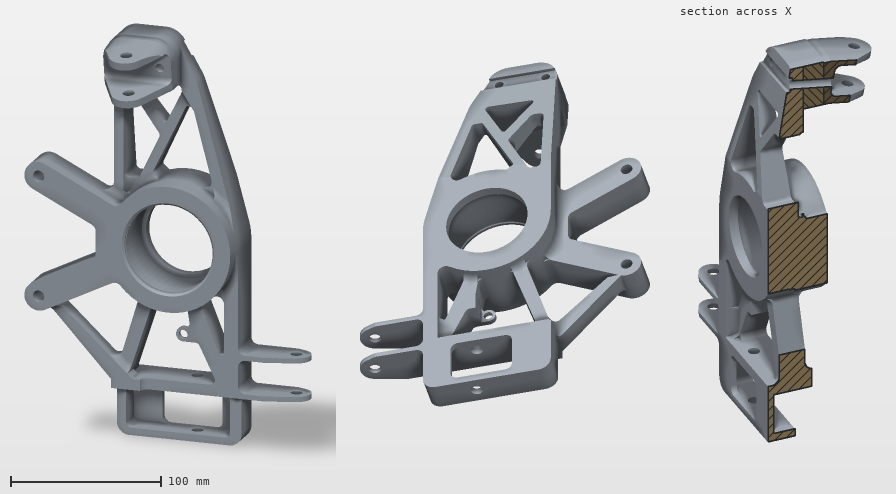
import cadquery as cq
import math


HUB_RADIUS = 44.0
HUB_FRONT = 43.3
BEARING_DIAMETER = 62.0
BORE_MOUTH_DIAMETER = 65.0
LIP_DIAMETER = 56.0
LIP_THICKNESS = 6.5
RING_GROOVE_WIDTH = 1.5
RING_GROOVE_FRONT = 40.2

JOINT_RADIUS = 5.02
CORNER_RADIUS = 3.5
SMALL_CORNER_RADIUS = 1.7
PIVOT_HOLE = 8.0
BOLT_HOLE = 6.0
LATTICE_FRONT = 26.0

ARM_HOLE_X = -91.0
ARM_HOLE_Z = 42.0
ARM_END_RADIUS = 10.0
ARM_ANGLE = math.radians(26.5)
ARM_BACK = 19.5
ARM_ROOT_X = -50.8
ARM_INNER_X = -34.5

TOP_Z = 147.0
SIDE_X = HUB_RADIUS
HEAD_RIGHT = 3.7
HEAD_CORNER = 14.0
HEAD_BOTTOM = 112.2
HEAD_EDGE_ANGLE = math.radians(26)
RAIL_ANGLE = math.radians(15.2)
SHOULDER_RADIUS = 28.7
LEFT_RAIL_INNER = 7.0 - SIDE_X
BRACE_FRONT = 20.5
BACK_SLOPE_START = 44.2
BACK_SLOPE = math.radians(9.2)
NUT_GROOVE_LOW = 128.0
NUT_GROOVE_HIGH = 138.5
NUT_GROOVE_DEPTH = 2.45

LOWER_FRONT = 27.0
SHELF_TOP = -96.7
SHELF_BOTTOM = -104.5
BOX_BOTTOM = TOP_Z - 287
BOX_FRONT = 20.0
BOX_CORNER = 8.5
BOX_INNER_LEFT = -37.3
BOX_INNER_RIGHT = 35.5
BOX_FLOOR = 5.2
BOX_BACK_THICKNESS = 4.3
WINDOW_LEFT = -17.2
WINDOW_RIGHT = 25.0
RIGHT_RAIL_INNER = SIDE_X - 10.0
TIE_FRONT = 32.1
FOOT_RIGHT = -23.5
FOOT_CUT = 1.5
TIE_INNER_EDGE = [(-78.0, -50.8), (-29.0, SHELF_TOP)]
STRUT_BACK = 8.0
STRUT_LEFT_EDGE = [(-21.8, -27.3), (-43.0, -97.5)]
WEB_LEFT = 9.8
WEB_BEND_X = 15.8
WEB_FOOT_X = 29.5
SENSOR_TAB_TOP = -56.0
SHELF_HOLE_X = 9.5
SENSOR_X = 5.2
SENSOR_Z = -63.5
SENSOR_RADIUS = 5.02
SENSOR_TAB = 3.5

LUG_TIP_X = 89.8
LUG_HOLE_X = 79.8
LUG_HOLE_DEPTH = 11.8
LUG_REAR_CORNER_X = 77.0
LUG_FRONT_CORNER_X = 62.0
LUG_THICKNESS = 3.5
LUG_PITCH = 27.0

SHIM_FRONT = 41.0
CLEVIS_TILT = 10.0
CLEVIS_STRIP = 5.2
CLEVIS_HEIGHT = 33.5
EAR_THICKNESS = 5.3
EAR_ROOT = 9.5
EAR_LENGTH = 41.0
EAR_TIP_RADIUS = 11.8
EAR_ROOT_RADIUS = 4.0
BOLT_DROP = 17.65
BOLT_SPACING = 32.0

CLEARANCE = 3.0
OVERRUN = 172.2


def prism(points, back, front):
    """Polygon in X and Z, from one depth to another."""
    return cq.Workplane("XZ", origin=(0, -back, 0)).polyline(points).close().extrude(front - back)


def block(left, right, low, high, back, front):
    return prism([(left, low), (right, low), (right, high), (left, high)], back, front)


def disc(x, z, radius, back, front):
    return cq.Workplane("XZ", origin=(x, -back, z)).circle(radius).extrude(front - back)


def tangent_point(point, centre, radius, side):
    """Where a line from the point touches the circle; side 1 or -1 picks one of the two tangents."""
    dx, dy = point[0] - centre[0], point[1] - centre[1]
    angle = math.atan2(dy, dx) - side * math.acos(radius / math.hypot(dx, dy))
    return (centre[0] + radius * math.cos(angle), centre[1] + radius * math.sin(angle))


def fillet_profile(plane, start):
    """Concave quarter-round corner, with a small root inside the wall that it leans on."""
    root = 1.1
    r = JOINT_RADIUS
    middle = r * (1 - math.sqrt(0.5))
    return (
        plane.moveTo(start - root, -root)
        .lineTo(start + r, -root)
        .lineTo(start + r, 0)
        .threePointArc((start + middle, middle), (start, r))
        .lineTo(start - root, r)
        .close()
    )


def fillet_bar(start, end, depth, toward_front=True):
    """Fillet along a straight wall, rising from the given depth to the front or to the rear.

    A front fillet lies to the left of the way from start to end, a rear one to the right.
    """
    dx, dz = end[0] - start[0], end[1] - start[1]
    side = 1 if toward_front else -1
    plane = cq.Plane(
        origin=(start[0], -depth, start[1]),
        xDir=(-side * dz, 0, side * dx),
        normal=(dx, 0, dz),
    )
    return fillet_profile(cq.Workplane(plane), 0).extrude(math.hypot(dx, dz))


def corner_fill(corner, heading, other_heading, back, front):
    """Concave fillet in the corner between two walls that leave it at the given headings."""
    half = abs(other_heading - heading) / 2
    middle = (heading + other_heading) / 2

    def from_corner(angle, distance):
        return (corner[0] + distance * math.cos(angle), corner[1] + distance * math.sin(angle))

    reach = JOINT_RADIUS / math.tan(half)
    return (
        cq.Workplane("XZ", origin=(0, -back, 0))
        .moveTo(*corner)
        .lineTo(*from_corner(heading, reach))
        .threePointArc(from_corner(middle, JOINT_RADIUS / math.sin(half) - JOINT_RADIUS),
                       from_corner(other_heading, reach))
        .close()
        .extrude(front - back)
    )


def hub_collar(depth, toward_front=True):
    """Fillet ring around the hub, rising from the given depth to the front or to the rear."""
    profile = fillet_profile(cq.Workplane("XY", origin=(0, -depth, 0)), HUB_RADIUS)
    ring = profile.revolve(360, (0, 0), (0, 1))
    return ring.mirror("XZ", (0, -depth, 0)) if toward_front else ring


def head_outline(back, front):
    """Face shared by upright head, shim and clevis: a rectangle with two rounded top corners."""
    return (
        block(-SIDE_X, HEAD_RIGHT, HEAD_BOTTOM, TOP_Z, back, front)
        .edges("|Y and >Z").fillet(HEAD_CORNER)
    )


def clevis_frame():
    """Plane at the top rear edge of the clevis: local x along the ears, y up and square to them."""
    tilt = math.radians(CLEVIS_TILT)
    return cq.Plane(
        origin=((HEAD_RIGHT - SIDE_X) / 2, -SHIM_FRONT, TOP_Z),
        xDir=(0, -math.cos(tilt), -math.sin(tilt)),
        normal=(-1, 0, 0),
    )


def bolt_holes():
    """Two bolts, square to the tilted face between the clevis ears."""
    holes = cq.Workplane("XY")
    for side in (-1, 1):
        frame = clevis_frame()
        plane = cq.Plane(
            origin=frame.toWorldCoords((-OVERRUN / 2, -BOLT_DROP, -side * BOLT_SPACING / 2)),
            xDir=(1, 0, 0),
            normal=frame.xDir,
        )
        holes = holes.add(cq.Workplane(plane).circle(BOLT_HOLE / 2).extrude(OVERRUN))
    return holes.combine()


def upper_lattice(front):
    arc_x = HEAD_RIGHT - HEAD_CORNER
    arc_z = TOP_Z - HEAD_CORNER
    leave = (arc_x + HEAD_CORNER * math.cos(HEAD_EDGE_ANGLE),
             arc_z + HEAD_CORNER * math.sin(HEAD_EDGE_ANGLE))
    touch = (HUB_RADIUS * math.cos(RAIL_ANGLE), HUB_RADIUS * math.sin(RAIL_ANGLE))
    head_run, rail_run = math.tan(HEAD_EDGE_ANGLE), math.tan(RAIL_ANGLE)
    shoulder_z = (leave[0] - touch[0] + leave[1] * head_run - touch[1] * rail_run) / (head_run - rail_run)
    shoulder = (leave[0] + (leave[1] - shoulder_z) * head_run, shoulder_z)
    half_turn = (math.pi / 2 + HEAD_EDGE_ANGLE) / 2
    arc_middle = (arc_x + HEAD_CORNER * math.cos(half_turn), arc_z + HEAD_CORNER * math.sin(half_turn))
    body = (
        cq.Workplane("XZ")
        .moveTo(-SIDE_X, 0)
        .lineTo(-SIDE_X, arc_z)
        .radiusArc((HEAD_CORNER - SIDE_X, TOP_Z), HEAD_CORNER)
        .lineTo(arc_x, TOP_Z)
        .threePointArc(arc_middle, leave)
        .lineTo(*shoulder)
        .lineTo(*touch)
        .lineTo(0, 0)
        .close()
        .extrude(front)
    )
    body = body.edges(cq.selectors.NearestToPointSelector((shoulder[0], -front / 2, shoulder[1])))
    return body.fillet(SHOULDER_RADIUS).cut(upper_openings())


def upper_openings():
    left = [(LEFT_RAIL_INNER, 40.2), (-28.5, 40.2), (-13.2, 72.0), (-28.7, 94.0), (LEFT_RAIL_INNER, 94.0)]
    middle = [(-31.0, 109), (-9.8, 79.8), (4.0, 107.5), (2.5, 110.0)]
    right = [(5.2, 94.0), (12.0, 94.0), (31.5, 20), (0, 20), (-10.0, 38.7), (-18.5, 46)]
    openings = cq.Workplane("XY")
    for outline, radius in (
        (left, CORNER_RADIUS),
        (middle, SMALL_CORNER_RADIUS),
        (right, SMALL_CORNER_RADIUS),
    ):
        openings = openings.add(prism(outline, -CLEARANCE, OVERRUN).edges("|Y").fillet(radius))
    return openings.combine()


def brace_recess():
    """Lowers the front of the crossing braces and blends it into the rails around them."""
    outline = [
        (LEFT_RAIL_INNER, 28.7), (LEFT_RAIL_INNER, 92.5), (-29.3, 108.0), (2.3, 108.8), (12.5, 92.5), (28.7, 28.7),
    ]
    return prism(outline, BRACE_FRONT, OVERRUN).faces(">Y").edges().fillet(JOINT_RADIUS)


def sloped_back():
    """Removes the rear wedge above the hub and the groove for the nuts."""
    run = math.tan(BACK_SLOPE)

    def slope_y(z):
        return -(z - BACK_SLOPE_START) * run

    def cutter(points):
        return cq.Workplane("YZ", origin=(-OVERRUN / 2, 0, 0)).polyline(points).close().extrude(OVERRUN)

    reach = TOP_Z + CLEARANCE
    wedge = cutter([
        (0, BACK_SLOPE_START),
        (slope_y(reach), reach),
        (CLEARANCE, reach),
        (CLEARANCE, BACK_SLOPE_START),
    ])
    groove = cutter([
        (slope_y(NUT_GROOVE_LOW) - NUT_GROOVE_DEPTH, NUT_GROOVE_LOW),
        (slope_y(NUT_GROOVE_HIGH) - NUT_GROOVE_DEPTH, NUT_GROOVE_HIGH),
        (CLEARANCE, NUT_GROOVE_HIGH),
        (CLEARANCE, NUT_GROOVE_LOW),
    ])
    return wedge.union(groove)


def arm_edge(x, offset):
    """Height of the upper arm's centre line at x, shifted by an offset square to the arm."""
    return ARM_HOLE_Z - (x - ARM_HOLE_X) * math.tan(ARM_ANGLE) + offset / math.cos(ARM_ANGLE)


def arms(back, front):
    s, c = ARM_END_RADIUS * math.sin(ARM_ANGLE), ARM_END_RADIUS * math.cos(ARM_ANGLE)
    root_z = arm_edge(ARM_ROOT_X, -ARM_END_RADIUS)
    top_z = arm_edge(ARM_INNER_X, ARM_END_RADIUS)
    upper = (ARM_HOLE_X + s, ARM_HOLE_Z + c)
    lower = (ARM_HOLE_X - s, ARM_HOLE_Z - c)
    body = prism(
        [upper, lower, (ARM_ROOT_X, root_z), (ARM_ROOT_X, -root_z), (lower[0], -lower[1]),
         (upper[0], -upper[1]), (ARM_INNER_X, -top_z), (0, 0), (ARM_INNER_X, top_z)],
        back, front,
    )
    for z in (-root_z, root_z):
        corner = cq.selectors.NearestToPointSelector((ARM_ROOT_X, -(back + front) / 2, z))
        body = body.edges(corner).fillet(JOINT_RADIUS)
    for z in (-ARM_HOLE_Z, ARM_HOLE_Z):
        body = body.union(disc(ARM_HOLE_X, z, ARM_END_RADIUS, back, front))
    return body


def arm_to_rail_fillet(back, front):
    """Fills the sharp corner between the left rail and the upper arm."""
    corner = (-SIDE_X, arm_edge(-SIDE_X, ARM_END_RADIUS))
    return corner_fill(corner, math.pi / 2, math.pi - ARM_ANGLE, back, front)


def lower_strut(back, front):
    return prism([*STRUT_LEFT_EDGE, (-34.0, -97.5), (-11.0, -27.3)], back, front)


def sensor_web(back, front):
    """Strut from the hub to the right foot of the frame, with the sensor eye on its left edge."""
    tab_bottom = SENSOR_Z - SENSOR_RADIUS
    tab_back = front - SENSOR_TAB
    web = prism(
        [(7.0, -37.3), (WEB_LEFT, SENSOR_TAB_TOP), (WEB_LEFT, tab_bottom), (WEB_BEND_X, tab_bottom),
         (WEB_FOOT_X, SHELF_TOP), (RIGHT_RAIL_INNER, SHELF_TOP), (RIGHT_RAIL_INNER, -75.0), (30.7, -75.0),
         (15.8, -37.3)],
        back, front,
    )
    tab = prism(
        [(WEB_LEFT, SENSOR_TAB_TOP), (SENSOR_X, SENSOR_Z), (SENSOR_X, tab_bottom), (WEB_LEFT, tab_bottom)],
        tab_back, front,
    )
    return web.union(tab).union(disc(SENSOR_X, SENSOR_Z, SENSOR_RADIUS, tab_back, front))


def shelf():
    """Floor of the lattice above the box; its left end slopes on in line with the tie."""
    floor = block(-SIDE_X, SIDE_X, SHELF_BOTTOM, SHELF_TOP, 0, LOWER_FRONT)
    return floor.edges("|Y and <X and >Z").chamfer(FOOT_CUT)


def tie(back, front):
    """Diagonal from the lower arm to the left foot, with the thicker foot itself."""
    return prism(
        [(-87.8, -50.2), *TIE_INNER_EDGE, (FOOT_RIGHT, SHELF_TOP), (FOOT_RIGHT, SHELF_BOTTOM),
         (-SIDE_X, SHELF_BOTTOM), (-SIDE_X, SHELF_TOP - FOOT_CUT)],
        back, front,
    )


def tie_to_strut_fillet(back, front):
    """Fills the sharp corner between the tie and the left edge of the lower strut."""
    (x1, z1), (x2, z2) = STRUT_LEFT_EDGE
    (x3, z3), (x4, z4) = TIE_INNER_EDGE
    strut_run = (x2 - x1) / (z2 - z1)
    tie_run = (x4 - x3) / (z4 - z3)
    z = (x3 - x1 + z1 * strut_run - z3 * tie_run) / (strut_run - tie_run)
    corner = (x1 + (z - z1) * strut_run, z)
    return corner_fill(corner, math.atan2(z1 - z2, x1 - x2), math.atan2(z3 - z4, x3 - x4), back, front)


def box():
    outer = block(-SIDE_X, SIDE_X, BOX_BOTTOM, SHELF_BOTTOM, 0, BOX_FRONT)
    outer = outer.edges("|Y and <Z").fillet(BOX_CORNER)
    floor_z = BOX_BOTTOM + BOX_FLOOR
    inside = block(BOX_INNER_LEFT, BOX_INNER_RIGHT, floor_z, SHELF_BOTTOM, BOX_BACK_THICKNESS, OVERRUN)
    window = block(WINDOW_LEFT, WINDOW_RIGHT, floor_z, SHELF_BOTTOM, -CLEARANCE, OVERRUN)
    walls = [(-SIDE_X, BOX_INNER_LEFT), (BOX_INNER_RIGHT, SIDE_X)]
    body = outer.cut(inside.edges("|Y and <Z").fillet(CORNER_RADIUS))
    body = body.cut(window.edges("|Y").fillet(JOINT_RADIUS))
    for left, right in walls:
        body = body.union(fillet_bar((right, SHELF_BOTTOM), (left, SHELF_BOTTOM), BOX_FRONT))
    return body


def side_lug(low, root_depth_below):
    """Flat ear on the right rail with a round tip and filleted root."""
    high = low + LUG_THICKNESS
    hole = (LUG_HOLE_X, -LUG_HOLE_DEPTH)
    tip_radius = LUG_TIP_X - LUG_HOLE_X
    rear = (LUG_REAR_CORNER_X, 0)
    front = (LUG_FRONT_CORNER_X, -LOWER_FRONT)
    ear = (
        cq.Workplane("XY", origin=(0, 0, low))
        .moveTo(SIDE_X, 0)
        .lineTo(*rear)
        .lineTo(*tangent_point(rear, hole, tip_radius, 1))
        .threePointArc((LUG_TIP_X, -LUG_HOLE_DEPTH), tangent_point(front, hole, tip_radius, -1))
        .lineTo(*front)
        .lineTo(SIDE_X, -LOWER_FRONT)
        .close()
        .extrude(LUG_THICKNESS)
    )
    end_x = SIDE_X + JOINT_RADIUS

    def root(face_z, direction, depth):
        return (
            cq.Workplane("XZ")
            .moveTo(SIDE_X, face_z + direction * JOINT_RADIUS)
            .radiusArc((end_x, face_z), -direction * JOINT_RADIUS)
            .lineTo(SIDE_X, face_z)
            .close()
            .extrude(depth)
        )

    ear = ear.union(root(high, 1, LOWER_FRONT)).union(root(low, -1, root_depth_below))
    return ear.cut(cq.Workplane("XY", origin=(*hole, low)).circle(PIVOT_HOLE / 2).extrude(LUG_THICKNESS))


def bore():
    mouth = (BORE_MOUTH_DIAMETER - BEARING_DIAMETER) / 2
    bearing = disc(0, 0, BEARING_DIAMETER / 2, LIP_THICKNESS, HUB_FRONT + CLEARANCE)
    chamfer = (
        cq.Workplane("XZ", origin=(0, -(HUB_FRONT - mouth), 0)).circle(BEARING_DIAMETER / 2)
        .workplane(offset=mouth).circle(BORE_MOUTH_DIAMETER / 2).loft()
    )
    groove = disc(0, 0, BORE_MOUTH_DIAMETER / 2, RING_GROOVE_FRONT - RING_GROOVE_WIDTH, RING_GROOVE_FRONT)
    return disc(0, 0, LIP_DIAMETER / 2, -CLEARANCE, HUB_FRONT).union(bearing).union(chamfer).union(groove)


def right_rail(back, front):
    return block(RIGHT_RAIL_INNER, SIDE_X, SHELF_BOTTOM, 0, back, front)


def lower_struts(back, front):
    return lower_strut(back, front).union(sensor_web(back, front))


def front_fillets():
    """Fillets where the lattice runs into the thicker hub, arms, tie and foot."""
    ahead = OVERRUN
    upper = upper_lattice(ahead)
    rails = upper.cut(brace_recess())
    lower = right_rail(0, ahead).union(lower_struts(0, ahead))
    arm_top = [(x, arm_edge(x, ARM_END_RADIUS)) for x in (-54.5, ARM_INNER_X)]
    arm_bottom = [(x, -arm_edge(x, ARM_END_RADIUS)) for x in (-69.0, -91.8)]
    strut_root = lower_strut(0, ahead).union(tie_to_strut_fillet(0, ahead))
    rail_root = upper.union(arm_to_rail_fillet(0, ahead))
    return [
        hub_collar(LATTICE_FRONT).intersect(rails),
        hub_collar(LOWER_FRONT).intersect(lower),
        hub_collar(BRACE_FRONT).intersect(upper),
        fillet_bar(*arm_top, LATTICE_FRONT).intersect(rail_root),
        fillet_bar(*arm_bottom, TIE_FRONT).intersect(tie(0, ahead)),
        fillet_bar(*TIE_INNER_EDGE, LOWER_FRONT).intersect(strut_root),
        fillet_bar((FOOT_RIGHT, SHELF_TOP), (FOOT_RIGHT, SHELF_BOTTOM), LOWER_FRONT),
    ]


def rear_fillets():
    """Fillets behind the arms, the tie and the lower struts, which stop short of the rear face."""
    arm_roots = arms(0, ARM_BACK).union(arm_to_rail_fillet(0, ARM_BACK))
    tie_roots = tie(0, ARM_BACK).union(tie_to_strut_fillet(0, ARM_BACK))
    struts = lower_struts(0, STRUT_BACK)
    shelf_end = (RIGHT_RAIL_INNER, SHELF_TOP)
    return [
        hub_collar(ARM_BACK, toward_front=False).intersect(arm_roots),
        fillet_bar((-SIDE_X, SIDE_X), (-SIDE_X, 0), ARM_BACK, toward_front=False).intersect(arm_roots),
        fillet_bar(*STRUT_LEFT_EDGE, ARM_BACK, toward_front=False).intersect(tie_roots),
        hub_collar(STRUT_BACK, toward_front=False).intersect(struts),
        fillet_bar((RIGHT_RAIL_INNER, 0), shelf_end, STRUT_BACK, toward_front=False).intersect(struts),
        fillet_bar(shelf_end, (-SIDE_X, SHELF_TOP), STRUT_BACK, toward_front=False).intersect(struts),
    ]


def lattice_and_hub():
    body = (
        upper_lattice(LATTICE_FRONT)
        .cut(brace_recess())
        .cut(sloped_back())
        .union(right_rail(0, LOWER_FRONT))
        .union(shelf())
        .union(lower_struts(STRUT_BACK, LOWER_FRONT))
        .union(disc(0, 0, HUB_RADIUS, 0, HUB_FRONT))
        .union(arms(ARM_BACK, HUB_FRONT))
    )
    arm_depth = (LOWER_FRONT + HUB_FRONT) / 2
    lattice_depth = (STRUT_BACK + LOWER_FRONT) / 2
    rail_corner_z = -math.sqrt(HUB_RADIUS ** 2 - RIGHT_RAIL_INNER ** 2)
    corners = [
        (27.8, 34.2, lattice_depth, JOINT_RADIUS),
        (RIGHT_RAIL_INNER, rail_corner_z, lattice_depth, JOINT_RADIUS),
        (7.7, -43.3, lattice_depth, CORNER_RADIUS),
        (-15.5, -41.0, lattice_depth, SMALL_CORNER_RADIUS),
        (-24.7, -36.5, lattice_depth, JOINT_RADIUS),
        (WEB_FOOT_X, SHELF_TOP, lattice_depth, CORNER_RADIUS),
        (WEB_BEND_X, SENSOR_Z - SENSOR_RADIUS, lattice_depth, CORNER_RADIUS),
        (-35.5, 25.5, arm_depth, JOINT_RADIUS),
        (-35.5, -25.5, arm_depth, JOINT_RADIUS),
    ]
    for x, z, depth, radius in corners:
        corner = cq.selectors.NearestToPointSelector((x, -depth, z))
        body = body.edges("|Y").edges(corner).fillet(radius)
    return body


def make_upright():
    body = lattice_and_hub()
    pieces = [
        tie(ARM_BACK, TIE_FRONT),
        box(),
        arm_to_rail_fillet(ARM_BACK, LATTICE_FRONT),
        tie_to_strut_fillet(ARM_BACK, LOWER_FRONT),
        side_lug(SHELF_BOTTOM, BOX_FRONT),
        side_lug(SHELF_BOTTOM + LUG_PITCH, LOWER_FRONT),
        *front_fillets(),
        *rear_fillets(),
    ]
    for piece in pieces:
        body = body.union(piece)
    body = body.cut(bore())
    for z in (-ARM_HOLE_Z, ARM_HOLE_Z):
        body = body.cut(disc(ARM_HOLE_X, z, PIVOT_HOLE / 2, 0, HUB_FRONT))
    body = body.cut(disc(SENSOR_X, SENSOR_Z, BOLT_HOLE / 2, 0, LOWER_FRONT))
    shelf_holes = cq.Workplane("XY", origin=(SHELF_HOLE_X, -BOX_FRONT / 2, BOX_BOTTOM))
    body = body.cut(shelf_holes.circle(PIVOT_HOLE / 2).extrude(SHELF_TOP - BOX_BOTTOM))
    return body.cut(bolt_holes())


def make_shim():
    return head_outline(LATTICE_FRONT, SHIM_FRONT).cut(bolt_holes())


def make_clevis():
    frame = clevis_frame()
    half_width = (HEAD_RIGHT + SIDE_X) / 2

    def side_prism(points):
        """Prism across the full width from corners given along and up the tilted frame."""
        left = cq.Workplane(frame).workplane(offset=-half_width)
        return left.polyline(points).close().extrude(2 * half_width)

    rear_corner = frame.toLocalCoords(cq.Vector(frame.origin.x, -SHIM_FRONT, HEAD_BOTTOM))
    bottom_x = rear_corner.x - (CLEVIS_HEIGHT + rear_corner.y) / math.tan(math.radians(CLEVIS_TILT))
    body = side_prism([
        (rear_corner.x, rear_corner.y),
        (0, 0),
        (EAR_LENGTH, 0),
        (EAR_LENGTH, -CLEVIS_HEIGHT),
        (bottom_x, -CLEVIS_HEIGHT),
    ])
    gap = side_prism([
        (EAR_ROOT, -EAR_THICKNESS),
        (OVERRUN, -EAR_THICKNESS),
        (OVERRUN, EAR_THICKNESS - CLEVIS_HEIGHT),
        (EAR_ROOT, EAR_THICKNESS - CLEVIS_HEIGHT),
    ])
    for height in (-EAR_THICKNESS, EAR_THICKNESS - CLEVIS_HEIGHT):
        corner = frame.toWorldCoords((EAR_ROOT, height, 0))
        gap = gap.edges(cq.selectors.NearestToPointSelector(corner.toTuple())).fillet(EAR_ROOT_RADIUS)

    along_ears = cq.Plane(origin=frame.origin, xDir=frame.xDir, normal=frame.yDir)
    tip_x = EAR_LENGTH - EAR_TIP_RADIUS
    touch = tangent_point((EAR_ROOT, half_width), (tip_x, 0), EAR_TIP_RADIUS, 1)
    plan = (
        cq.Workplane(along_ears)
        .workplane(offset=-OVERRUN / 2)
        .moveTo(-OVERRUN, half_width)
        .lineTo(EAR_ROOT, half_width)
        .lineTo(*touch)
        .threePointArc((EAR_LENGTH, 0), (touch[0], -touch[1]))
        .lineTo(EAR_ROOT, -half_width)
        .lineTo(-OVERRUN, -half_width)
        .close()
        .extrude(OVERRUN)
    )

    across_ears = cq.Plane(origin=frame.origin, xDir=(1, 0, 0), normal=frame.xDir)
    rounding = (
        cq.Workplane(across_ears)
        .workplane(offset=-OVERRUN / 2)
        .center(0, -OVERRUN / 2)
        .rect(2 * half_width, OVERRUN)
        .extrude(OVERRUN)
    )
    top_corners = cq.selectors.ParallelDirSelector(frame.xDir)
    rounding = rounding.edges(top_corners).edges(">Z").fillet(HEAD_CORNER)
    pivot = (
        cq.Workplane(along_ears)
        .workplane(offset=-OVERRUN / 2)
        .center(tip_x, 0)
        .circle(PIVOT_HOLE / 2)
        .extrude(OVERRUN)
    )
    ears = body.cut(gap).intersect(plan).intersect(rounding)

    strip_front = SHIM_FRONT + CLEVIS_STRIP
    drop = CLEVIS_STRIP * math.tan(math.radians(CLEVIS_TILT))
    strip = head_outline(SHIM_FRONT, strip_front).translate((0, 0, -drop))
    ahead = block(-OVERRUN, OVERRUN, -OVERRUN, OVERRUN, strip_front, OVERRUN)
    return ears.intersect(strip.union(ahead)).cut(pivot).cut(bolt_holes())


upright = make_upright()
shim = make_shim()
clevis = make_clevis()
result = cq.Compound.makeCompound([upright.val(), shim.val(), clevis.val()])